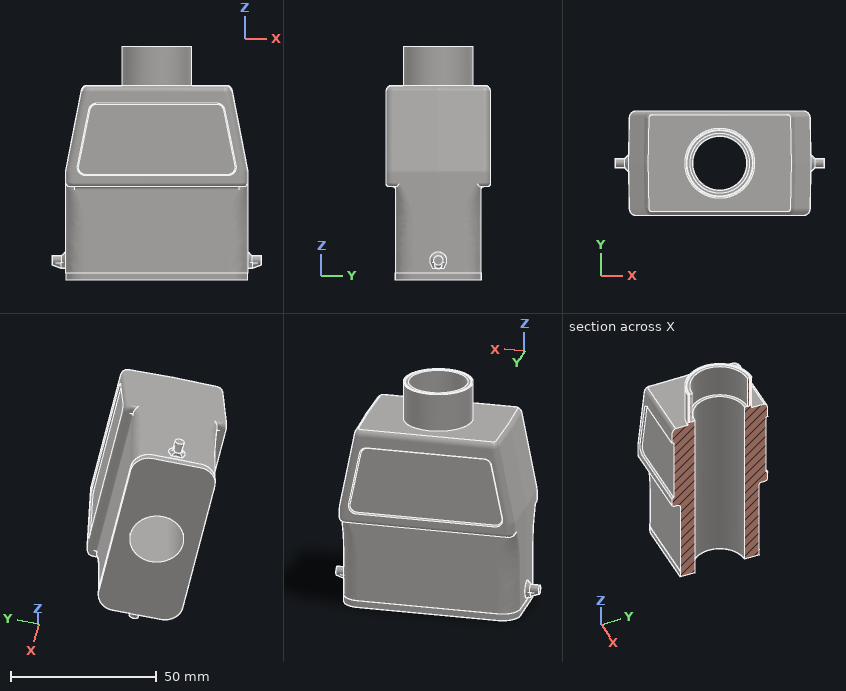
import cadquery as cq
import math

rim_height = 2.5
corner_bend_start = 17.5
shoulder_height = 32.05
break_height = 37.2
roof_height = 66.7
total_height = 80.2
seat_height = 67.75

rim_half_length = 31.2
rim_half_width = 14.8
end_half_length = 31.0
end_crown = 0.35
roof_half_length = 25.2
lower_half_width = 14.7
upper_half_width = 18.0
crown_slope = end_crown / upper_half_width

lower_corner_radius = 6.3
corner_bend_radius = 28.0
corner_section_count = 9
corner_tool_margin = 2.0
upper_corner_radius = 2.5
roof_edge_radius = 2.5
roof_trim = 0.25
break_radius = 4.0
shoulder_edge_radius = 1.25
shoulder_root_radius = 1.0

panel_bottom = 35.9
panel_top = 60.7
panel_bottom_half_length = 27.9
panel_top_half_length = 22.9
panel_corner_radius = 2.8
panel_depth = 0.7
panel_wall_angle = 30.0

neck_diameter = 24.0
neck_bore_diameter = 23.0
sleeve_outer_diameter = 22.5
sleeve_inner_diameter = 20.5
passage_diameter = 18.5

peg_tip = 71.7 / 2
peg_height = 6.78
peg_radius = 1.6
peg_foot_radius = 2.9
peg_foot_bottom = 4.05
peg_foot_drop = 0.75
peg_foot_bottom_half_width = 2.1
peg_foot_end_half_width = 1.0
peg_rib_radius = 2.74 / 2
peg_rib_start = 1.5
peg_embed = 0.2

selection_margin = 0.1

peg_wall = end_half_length + end_crown
lower_walls_top = shoulder_height + shoulder_edge_radius


def crowned_plan(half_length, half_width, height):
    """Rectangle whose short sides are folded outwards to a ridge at Y = 0."""
    ridge = half_length + end_crown
    corner = ridge - crown_slope * half_width
    points = [
        (ridge, 0),
        (corner, half_width),
        (-corner, half_width),
        (-ridge, 0),
        (-corner, -half_width),
        (corner, -half_width),
    ]
    return cq.Wire.makePolygon([cq.Vector(x, y, height) for x, y in points], close=True)


def lower_corner_radius_at(height):
    """Corner radius of the lower walls: constant at first, then tightening along an arc."""
    rise = max(height - corner_bend_start, 0)
    tightening = corner_bend_radius - math.sqrt(corner_bend_radius**2 - rise**2)
    return lower_corner_radius - tightening


def lower_corner_tool_section(height):
    """Waste outside the rounded corner at +X +Y of the lower walls."""
    radius = lower_corner_radius_at(height)
    end_wall_tilt = math.atan(crown_slope)
    setback = radius * math.tan((math.pi / 2 - end_wall_tilt) / 2)
    corner = cq.Vector(peg_wall - crown_slope * lower_half_width, lower_half_width, height)
    long_wall_tangent = corner - cq.Vector(setback, 0, 0)
    end_wall_tangent = corner + cq.Vector(math.sin(end_wall_tilt), -math.cos(end_wall_tilt), 0) * setback
    centre = long_wall_tangent - cq.Vector(0, radius, 0)
    arc_middle = centre + (corner - centre).normalized() * radius

    beyond_x = cq.Vector(corner_tool_margin, 0, 0)
    beyond_y = cq.Vector(0, corner_tool_margin, 0)
    outside = [
        long_wall_tangent,
        long_wall_tangent + beyond_y,
        corner + beyond_x + beyond_y,
        end_wall_tangent + beyond_x,
        end_wall_tangent,
    ]
    edges = [cq.Edge.makeLine(start, end) for start, end in zip(outside, outside[1:])]
    edges.append(cq.Edge.makeThreePointArc(end_wall_tangent, arc_middle, long_wall_tangent))
    return cq.Wire.assembleEdges(edges)


def build_lower_part():
    rim = (
        cq.Workplane("XY")
        .rect(2 * rim_half_length, 2 * rim_half_width)
        .extrude(rim_height)
        .edges("|Z")
        .fillet(lower_corner_radius)
    )
    walls = cq.Workplane(cq.Solid.makeLoft([
        crowned_plan(end_half_length, lower_half_width, rim_height),
        crowned_plan(end_half_length, lower_half_width, lower_walls_top),
    ], True))
    step = (lower_walls_top - rim_height) / (corner_section_count - 1)
    sections = [lower_corner_tool_section(rim_height + i * step) for i in range(corner_section_count)]
    corner_tool = cq.Workplane(cq.Solid.makeLoft(sections))
    both_ends = corner_tool.add(corner_tool.mirror("YZ"))
    for tool in both_ends.vals():
        walls = walls.cut(cq.Workplane(tool)).cut(cq.Workplane(tool).mirror("XZ"))
    return rim.union(walls)


def build_upper_part():
    """Overhanging block with leaning end walls."""
    foot = crowned_plan(end_half_length, upper_half_width, shoulder_height)
    waist = crowned_plan(end_half_length, upper_half_width, break_height)
    roof = crowned_plan(roof_half_length, upper_half_width, roof_height + roof_trim)
    straight = cq.Workplane(cq.Solid.makeLoft([foot, waist], True))
    leaning = cq.Workplane(cq.Solid.makeLoft([waist, roof], True))
    block = straight.union(leaning)

    end_walls_at_break = cq.selectors.BoxSelector(
        (-peg_tip, -upper_half_width, break_height - selection_margin),
        (peg_tip, upper_half_width, break_height + selection_margin),
    )
    block = block.edges(end_walls_at_break).fillet(break_radius)
    block = block.edges("(<Y or >Y) and (not #Z)").fillet(upper_corner_radius)
    block = block.faces(">Z").edges().fillet(roof_edge_radius)
    block = block.faces("<Z").edges("|X").fillet(shoulder_edge_radius)
    trim = (
        cq.Workplane("XY", origin=(0, 0, roof_height))
        .rect(4 * roof_half_length, 4 * upper_half_width)
        .extrude(2 * roof_trim)
    )
    return block.cut(trim)


def build_shoulder_roots():
    """Concave rounding between the long lower walls and the underside of the shoulder."""
    reach = lower_half_width + shoulder_root_radius
    bottom = shoulder_height - shoulder_root_radius
    root_half_length = end_half_length - lower_corner_radius_at(bottom)
    diagonal = shoulder_root_radius * (1 - math.sqrt(0.5))
    root = (
        cq.Workplane("YZ", origin=(-root_half_length, 0, 0))
        .moveTo(lower_half_width, bottom)
        .threePointArc(
            (lower_half_width + diagonal, shoulder_height - diagonal),
            (reach, shoulder_height),
        )
        .lineTo(0, shoulder_height)
        .lineTo(0, bottom)
        .close()
        .extrude(2 * root_half_length)
    )
    return root.union(root.mirror("XZ"))


def build_panel_recess():
    """Tapered pocket for the side facing -Y."""
    outline = cq.Sketch().polygon([
        (-panel_bottom_half_length, panel_bottom),
        (panel_bottom_half_length, panel_bottom),
        (panel_top_half_length, panel_top),
        (-panel_top_half_length, panel_top),
        (-panel_bottom_half_length, panel_bottom),
    ]).vertices().fillet(panel_corner_radius)
    return (
        cq.Workplane("XZ", origin=(0, -upper_half_width, 0))
        .placeSketch(outline)
        .extrude(-panel_depth, taper=panel_wall_angle)
    )


def build_peg():
    """Peg on the +X end wall with a flared foot and a rib underneath."""
    wall = cq.Workplane("YZ", origin=(peg_wall - peg_embed, 0, peg_height))
    pin = wall.circle(peg_radius).extrude(peg_tip - peg_wall + peg_embed)

    flare_length = peg_foot_radius - peg_radius
    flare = cq.Workplane(cq.Solid.makeCone(
        peg_foot_radius + peg_embed,
        peg_radius,
        flare_length + peg_embed,
        cq.Vector(peg_wall - peg_embed, 0, peg_height),
        cq.Vector(1, 0, 0),
    )).intersect(wall.circle(peg_foot_radius).extrude(peg_tip))

    foot_bottom = peg_foot_bottom - peg_height

    def foot_section(plane, shoulder_half_width, bottom_half_width):
        return plane.polyline([
            (-shoulder_half_width, -peg_foot_drop),
            (shoulder_half_width, -peg_foot_drop),
            (bottom_half_width, foot_bottom),
            (-bottom_half_width, foot_bottom),
        ]).close()

    foot_half_width = math.sqrt(peg_foot_radius**2 - peg_foot_drop**2)
    foot = foot_section(wall, foot_half_width, peg_foot_bottom_half_width)
    foot = foot.workplane(offset=peg_rib_start + peg_embed)
    foot = foot_section(foot, peg_rib_radius, peg_foot_end_half_width).loft(ruled=True)

    rib_tip_centre = peg_rib_radius - peg_radius
    rib_start_centre = foot_bottom + peg_rib_radius
    rib = (
        cq.Workplane("YZ", origin=(peg_wall + peg_rib_start, 0, peg_height))
        .center(0, rib_start_centre)
        .circle(peg_rib_radius)
        .workplane(offset=peg_tip - peg_wall - peg_rib_start)
        .center(0, rib_tip_centre - rib_start_centre)
        .circle(peg_rib_radius)
        .loft(ruled=True)
    )
    return pin.union(flare).union(foot).union(rib)


def build_housing():
    hood = build_lower_part().union(build_upper_part()).union(build_shoulder_roots())
    recess = build_panel_recess()
    hood = hood.cut(recess).cut(recess.mirror("XZ"))
    peg = build_peg()
    hood = hood.union(peg).union(peg.mirror("YZ"))
    neck = (
        cq.Workplane("XY", origin=(0, 0, roof_height))
        .circle(neck_diameter / 2)
        .extrude(total_height - roof_height)
    )
    passage = cq.Workplane("XY").circle(passage_diameter / 2).extrude(total_height)
    neck_bore = (
        cq.Workplane("XY", origin=(0, 0, seat_height))
        .circle(neck_bore_diameter / 2)
        .extrude(total_height - seat_height)
    )
    return hood.union(neck).cut(passage).cut(neck_bore)


def build_sleeve():
    """Plain tube standing on the ledge inside the neck."""
    return (
        cq.Workplane("XY", origin=(0, 0, seat_height))
        .circle(sleeve_outer_diameter / 2)
        .circle(sleeve_inner_diameter / 2)
        .extrude(total_height - seat_height)
    )


housing = build_housing()
sleeve = build_sleeve()
result = cq.Compound.makeCompound([housing.val(), sleeve.val()])